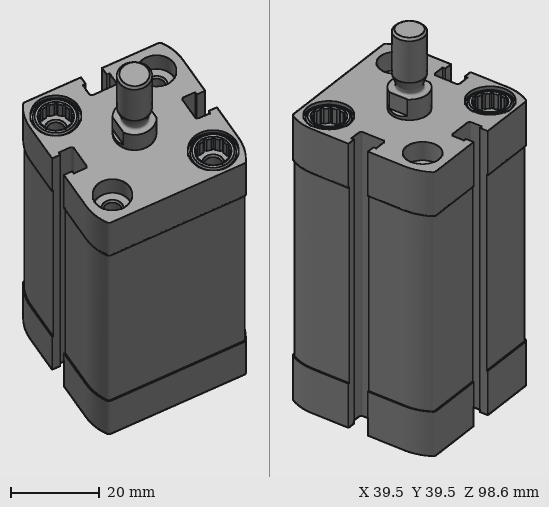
import cadquery as cq
import math

TOTAL_HEIGHT = 98.6
CAP_SIDE = 39.5
TUBE_INSET = 0.3
TUBE_SIDE = CAP_SIDE - 2 * TUBE_INSET
HOUSING_HEIGHT = 77.2
CAP_HEIGHT = 12.0
TUBE_HEIGHT = HOUSING_HEIGHT - 2 * CAP_HEIGHT

CORNER_RADIUS = 25.4 / 2
CORNER_START = 12.8
EDGE_RADIUS = 0.9

SLOT_MOUTH_WIDTH = 5.4
SLOT_INNER_WIDTH = 6.9
SLOT_LIP = 2.2
SLOT_DEPTH = 5.7
SLOT_FLOOR_RADIUS = 0.7

BOLT_OFFSET = 13.0
THROUGH_DIAMETER = 4.1
HOLE_MOUTH_DIAMETER = 5.0
BORE_DIAMETER = 9.0
BORE_DEPTH = 5.0

RECESS_DIAMETER = 11.5
RECESS_DEPTH = 1.0
COLLAR_DIAMETER = 10.5
COLLAR_TOP_DIAMETER = 9.6
COLLAR_DROP = 0.3
SOCKET_DIAMETER = 7.5
SOCKET_MOUTH_DIAMETER = 8.3
SOCKET_FLOOR_DEPTH = 4.7
FLUTE_COUNT = 12
FLUTE_WIDTH = 0.9
FLUTE_TIP_DIAMETER = 8.3

ROD_DIAMETER = 10.0
FLATS_ACROSS = 8.6
SHOULDER_HEIGHT = 5.6
FLAT_LENGTH = 4.4
FLAT_FLOOR_DROP = 0.4
NECK_DIAMETER = 6.3
NECK_LENGTH = 1.4
NECK_FILLET = 0.6
TAPER_LENGTH = 2.5
THREAD_DIAMETER = 8.0
ROD_CHAMFER = 0.6

SELECTION_MARGIN = 0.1


def corner_block(side, height, base_z):
    """Square block; each corner is a wide arc that meets the X side at a small rounded edge."""
    half = side / 2
    arc_center_y = half - CORNER_RADIUS
    arc_end_y = arc_center_y + math.sqrt(CORNER_RADIUS**2 - (half - CORNER_START) ** 2)
    half_angle = (math.pi / 2 + math.asin((half - CORNER_START) / CORNER_RADIUS)) / 2
    arc_mid_x = CORNER_START + CORNER_RADIUS * math.cos(half_angle)
    arc_mid_y = arc_center_y + CORNER_RADIUS * math.sin(half_angle)
    return (
        cq.Workplane("XY", origin=(0, 0, base_z))
        .moveTo(-CORNER_START, half)
        .lineTo(CORNER_START, half)
        .threePointArc((arc_mid_x, arc_mid_y), (half, arc_end_y))
        .lineTo(half, -arc_end_y)
        .threePointArc((arc_mid_x, -arc_mid_y), (CORNER_START, -half))
        .lineTo(-CORNER_START, -half)
        .threePointArc((-arc_mid_x, -arc_mid_y), (-half, -arc_end_y))
        .lineTo(-half, arc_end_y)
        .threePointArc((-arc_mid_x, arc_mid_y), (-CORNER_START, half))
        .close()
        .extrude(height)
        .edges("|Z and (>X or <X)")
        .fillet(EDGE_RADIUS)
    )


def t_slot():
    """Cutter for the T-slot in the -Y side."""
    outer_y = -CAP_SIDE / 2
    inner_depth = SLOT_DEPTH - SLOT_LIP
    mouth = (
        cq.Workplane("XY")
        .center(0, outer_y + SLOT_DEPTH / 2)
        .rect(SLOT_MOUTH_WIDTH, SLOT_DEPTH)
        .extrude(HOUSING_HEIGHT)
    )
    inner = (
        cq.Workplane("XY")
        .center(0, outer_y + SLOT_LIP + inner_depth / 2)
        .rect(SLOT_INNER_WIDTH, inner_depth)
        .extrude(HOUSING_HEIGHT)
        .edges("|Z and >Y")
        .fillet(SLOT_FLOOR_RADIUS)
    )
    return mouth.union(inner)


def disc(diameter, bottom_z, top_z):
    """Upright cylinder on the Z axis."""
    return cq.Workplane("XY", origin=(0, 0, bottom_z)).circle(diameter / 2).extrude(top_z - bottom_z)


def countersink(large_diameter, small_diameter, top_z):
    """45 degree cone that narrows downwards from top_z."""
    depth = (large_diameter - small_diameter) / 2
    return (
        cq.Workplane("XZ", origin=(0, 0, top_z))
        .polyline([(0, 0), (large_diameter / 2, 0), (small_diameter / 2, -depth), (0, -depth)])
        .close()
        .revolve(360, (0, 0), (0, 1))
    )


def bolt_hole(bore_diameter, bore_depth):
    """Cutter for a counterbored through hole with a countersunk mouth on the bore floor."""
    floor_z = HOUSING_HEIGHT - bore_depth
    through = disc(THROUGH_DIAMETER, 0, HOUSING_HEIGHT)
    bore = disc(bore_diameter, floor_z, HOUSING_HEIGHT)
    mouth = countersink(HOLE_MOUTH_DIAMETER, THROUGH_DIAMETER, floor_z)
    return through.union(bore).union(mouth)


def collar_recess():
    """Cutter for the space around and above the collar."""
    collar_top_z = HOUSING_HEIGHT - COLLAR_DROP
    recess_floor_z = HOUSING_HEIGHT - RECESS_DEPTH
    collar = (
        disc(COLLAR_DIAMETER, recess_floor_z, collar_top_z)
        .faces(">Z")
        .chamfer((COLLAR_DIAMETER - COLLAR_TOP_DIAMETER) / 2)
    )
    return disc(RECESS_DIAMETER, recess_floor_z, HOUSING_HEIGHT).cut(collar)


def fluted_socket():
    """Cutter for the socket: a round bore with V-flutes and a chamfered mouth, over a bolt hole."""
    floor_z = HOUSING_HEIGHT - SOCKET_FLOOR_DEPTH
    socket_depth = SOCKET_FLOOR_DEPTH - COLLAR_DROP
    flute_base_x = math.sqrt((SOCKET_DIAMETER / 2) ** 2 - (FLUTE_WIDTH / 2) ** 2)
    socket = bolt_hole(SOCKET_DIAMETER, SOCKET_FLOOR_DEPTH)
    for index in range(FLUTE_COUNT):
        flute = (
            cq.Workplane("XY", origin=(0, 0, floor_z))
            .polyline([
                (0, -FLUTE_WIDTH / 2),
                (flute_base_x, -FLUTE_WIDTH / 2),
                (FLUTE_TIP_DIAMETER / 2, 0),
                (flute_base_x, FLUTE_WIDTH / 2),
                (0, FLUTE_WIDTH / 2),
            ])
            .close()
            .extrude(socket_depth)
            .rotate((0, 0, 0), (0, 0, 1), index * 360 / FLUTE_COUNT)
        )
        socket = socket.union(flute)
    mouth = countersink(SOCKET_MOUTH_DIAMETER, SOCKET_DIAMETER, HOUSING_HEIGHT - COLLAR_DROP)
    return socket.union(mouth)


def make_housing():
    """Tube between two slightly wider end caps, with slots and corner holes."""
    tube_base_z = CAP_HEIGHT
    upper_cap_z = HOUSING_HEIGHT - CAP_HEIGHT
    housing = (
        corner_block(CAP_SIDE, CAP_HEIGHT, 0)
        .union(corner_block(TUBE_SIDE, TUBE_HEIGHT, tube_base_z))
        .union(corner_block(CAP_SIDE, CAP_HEIGHT, upper_cap_z))
    )
    for angle in (0, 180, -90):
        housing = housing.cut(t_slot().rotate((0, 0, 0), (0, 0, 1), angle))
    plain_hole = bolt_hole(BORE_DIAMETER, BORE_DEPTH)
    socket = fluted_socket()
    recess = collar_recess()
    for sign in (-1, 1):
        plain_place = (sign * BOLT_OFFSET, -sign * BOLT_OFFSET, 0)
        collar_place = (sign * BOLT_OFFSET, sign * BOLT_OFFSET, 0)
        housing = housing.cut(plain_hole.translate(plain_place))
        housing = housing.cut(socket.translate(collar_place))
        housing = housing.cut(recess.translate(collar_place))
    return housing


def wrench_flat(top_z):
    """Cutter for the flat on the -Y side, whose floor falls slightly outwards."""
    flat_y = -FLATS_ACROSS / 2
    outer_y = -ROD_DIAMETER / 2
    floor_z = top_z - FLAT_LENGTH
    return (
        cq.Workplane("YZ")
        .polyline([
            (flat_y, top_z),
            (flat_y, floor_z),
            (outer_y, floor_z - FLAT_FLOOR_DROP),
            (outer_y, top_z),
        ])
        .close()
        .extrude(ROD_DIAMETER / 2, both=True)
    )


def make_rod():
    """Piston rod: shoulder with two wrench flats, undercut neck and thread stud."""
    shoulder_top = HOUSING_HEIGHT + SHOULDER_HEIGHT
    taper_bottom = shoulder_top + NECK_LENGTH
    thread_bottom = taper_bottom + TAPER_LENGTH
    neck_reach = NECK_DIAMETER / 2 + SELECTION_MARGIN
    neck_ends = cq.selectors.BoxSelector(
        (-neck_reach, -neck_reach, shoulder_top - SELECTION_MARGIN),
        (neck_reach, neck_reach, taper_bottom + SELECTION_MARGIN),
        boundingbox=True,
    )
    rod = (
        cq.Workplane("XZ")
        .moveTo(0, HOUSING_HEIGHT)
        .lineTo(ROD_DIAMETER / 2, HOUSING_HEIGHT)
        .lineTo(ROD_DIAMETER / 2, shoulder_top)
        .lineTo(NECK_DIAMETER / 2, shoulder_top)
        .lineTo(NECK_DIAMETER / 2, taper_bottom)
        .lineTo(THREAD_DIAMETER / 2, thread_bottom)
        .lineTo(THREAD_DIAMETER / 2, TOTAL_HEIGHT)
        .lineTo(0, TOTAL_HEIGHT)
        .close()
        .revolve(360, (0, 0), (0, 1))
        .faces(">Z")
        .chamfer(ROD_CHAMFER)
        .edges(neck_ends)
        .fillet(NECK_FILLET)
    )
    for angle in (0, 180):
        rod = rod.cut(wrench_flat(shoulder_top).rotate((0, 0, 0), (0, 0, 1), angle))
    return rod


housing = make_housing()
rod = make_rod()

result = cq.Compound.makeCompound([housing.val(), rod.val()])